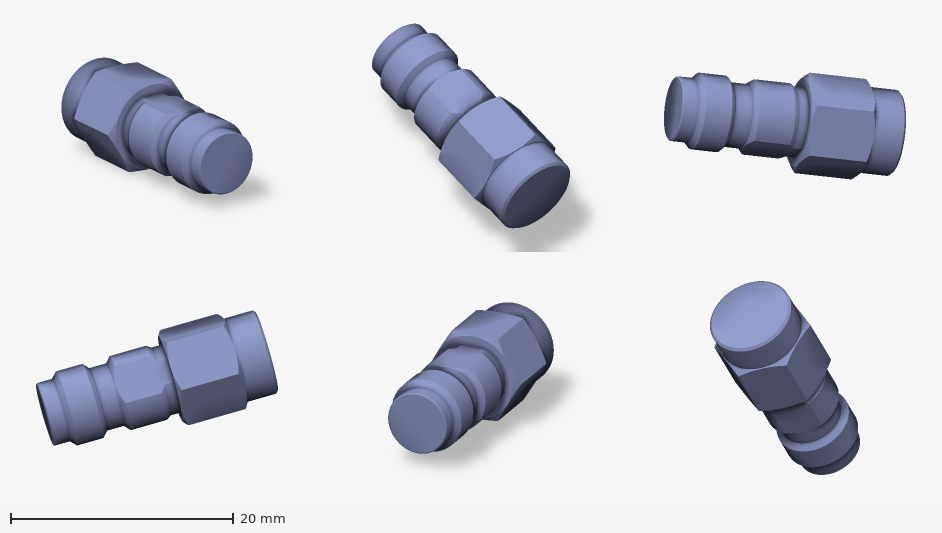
import cadquery as cq
import math

total_length = 20.8

collar_radius = 3.9
collar_chamfer = 0.22

hex_sides = 6
hex_across_flats = 8.0
hex_start = 2.95
hex_end = 9.0
hex_chamfer_angle = 30.0

neck_radius = 3.175
barrel_radius = 3.475
flats_spacing = 5.95
barrel_cone_start = 9.88
barrel_start = 10.35
barrel_end = 13.72

shaft_radius = 2.93
shaft_start = 14.2
ring_radius = barrel_radius
ring_cone_start = 15.8
ring_start = 16.3
ring_end = 18.75
ring_cone_end = 19.3
tip_chamfer = 0.1


def revolve_about_x(points):
    """Revolve a closed profile of (x, radius) points about the X axis."""
    profile = cq.Workplane("XY").polyline(points).close()
    return profile.revolve(360, (0, 0, 0), (1, 0, 0))


def make_collar():
    """Round front of the nut, chamfered at its free end."""
    return revolve_about_x([
        (0, 0),
        (0, collar_radius - collar_chamfer),
        (collar_chamfer, collar_radius),
        (hex_start, collar_radius),
        (hex_start, 0),
    ])


def make_hex_nut():
    """Hexagonal prism whose corners are trimmed by a cone at each end."""
    face_radius = hex_across_flats / 2
    corner_radius = face_radius / math.cos(math.pi / hex_sides)
    chamfer_length = (corner_radius - face_radius) * math.tan(math.radians(hex_chamfer_angle))
    prism = (
        cq.Workplane("YZ", origin=(hex_start, 0, 0))
        .polygon(hex_sides, 2 * corner_radius)
        .extrude(hex_end - hex_start)
    )
    envelope = revolve_about_x([
        (hex_start, 0),
        (hex_start, face_radius),
        (hex_start + chamfer_length, corner_radius),
        (hex_end - chamfer_length, corner_radius),
        (hex_end, face_radius),
        (hex_end, 0),
    ])
    return prism.intersect(envelope)


def make_wrench_body():
    """Turned neck and barrel, milled flat on the top and bottom."""
    turned = revolve_about_x([
        (hex_end, 0),
        (hex_end, neck_radius),
        (barrel_cone_start, neck_radius),
        (barrel_start, barrel_radius),
        (barrel_end, barrel_radius),
        (shaft_start, shaft_radius),
        (shaft_start, 0),
    ])
    slab = cq.Workplane("XY").box(
        total_length, 2 * barrel_radius, flats_spacing, centered=(False, True, True)
    )
    return turned.intersect(slab)


def make_socket_end():
    """Shaft with a bevelled raised ring and a chamfered tip."""
    return revolve_about_x([
        (shaft_start, 0),
        (shaft_start, shaft_radius),
        (ring_cone_start, shaft_radius),
        (ring_start, ring_radius),
        (ring_end, ring_radius),
        (ring_cone_end, shaft_radius),
        (total_length - tip_chamfer, shaft_radius),
        (total_length, shaft_radius - tip_chamfer),
        (total_length, 0),
    ])


result = make_collar().union(make_hex_nut()).union(make_wrench_body()).union(make_socket_end())